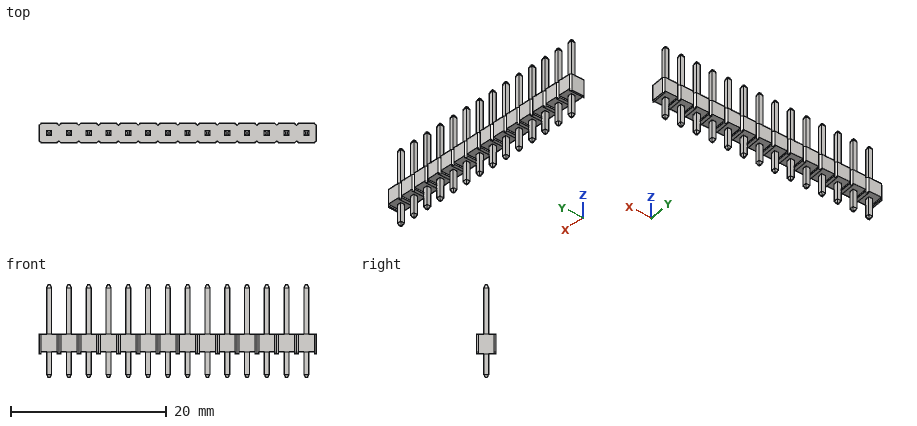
import cadquery as cq

PIN_COUNT = 14
PITCH = 2.54
BODY_HEIGHT = 2.54
CORNER_CHAMFER = 0.254
FOOT_HEIGHT = 0.254
PIN_WIDTH = 0.66
PIN_ABOVE_BODY = 6.35
PIN_BELOW_BODY = 3.05
TIP_HEIGHT = 0.42
TIP_WIDTH = 0.254

CHANNEL_WIDTH = PITCH - 2 * CORNER_CHAMFER
PIN_LENGTH = PIN_ABOVE_BODY + BODY_HEIGHT + PIN_BELOW_BODY
SHANK_LENGTH = PIN_LENGTH - 2 * TIP_HEIGHT
SHANK_BOTTOM = TIP_HEIGHT - PIN_BELOW_BODY
SHANK_TOP = SHANK_BOTTOM + SHANK_LENGTH
PIN_POSITIONS = [(i - (PIN_COUNT - 1) / 2) * PITCH for i in range(PIN_COUNT)]


def make_cell():
    """Square insulator cell with chamfered corners and a channel along Y underneath."""
    block = (
        cq.Workplane("XY")
        .box(PITCH, PITCH, BODY_HEIGHT, centered=(True, True, False))
        .edges("|Z")
        .chamfer(CORNER_CHAMFER)
    )
    channel = cq.Workplane("XY").box(CHANNEL_WIDTH, PITCH, FOOT_HEIGHT, centered=(True, True, False))
    return block.cut(channel)


def make_tip(base_z, direction):
    """Tapered square pin tip; direction is +1 upward or -1 downward."""
    return (
        cq.Workplane("XY", origin=(0, 0, base_z))
        .rect(PIN_WIDTH, PIN_WIDTH)
        .workplane(offset=direction * TIP_HEIGHT)
        .rect(TIP_WIDTH, TIP_WIDTH)
        .loft(ruled=True)
    )


def make_pin():
    """Square pin running through the body, tapered at both ends."""
    shank = (
        cq.Workplane("XY", origin=(0, 0, SHANK_BOTTOM))
        .rect(PIN_WIDTH, PIN_WIDTH)
        .extrude(SHANK_LENGTH)
    )
    return shank.union(make_tip(SHANK_TOP, 1)).union(make_tip(SHANK_BOTTOM, -1))


def make_header():
    """Row of identical cells, each carrying one pin, joined into one solid."""
    unit = make_cell().union(make_pin())
    header = cq.Workplane("XY")
    for x in PIN_POSITIONS:
        header = header.union(unit.translate((x, 0, 0)))
    return header.clean()


result = make_header()